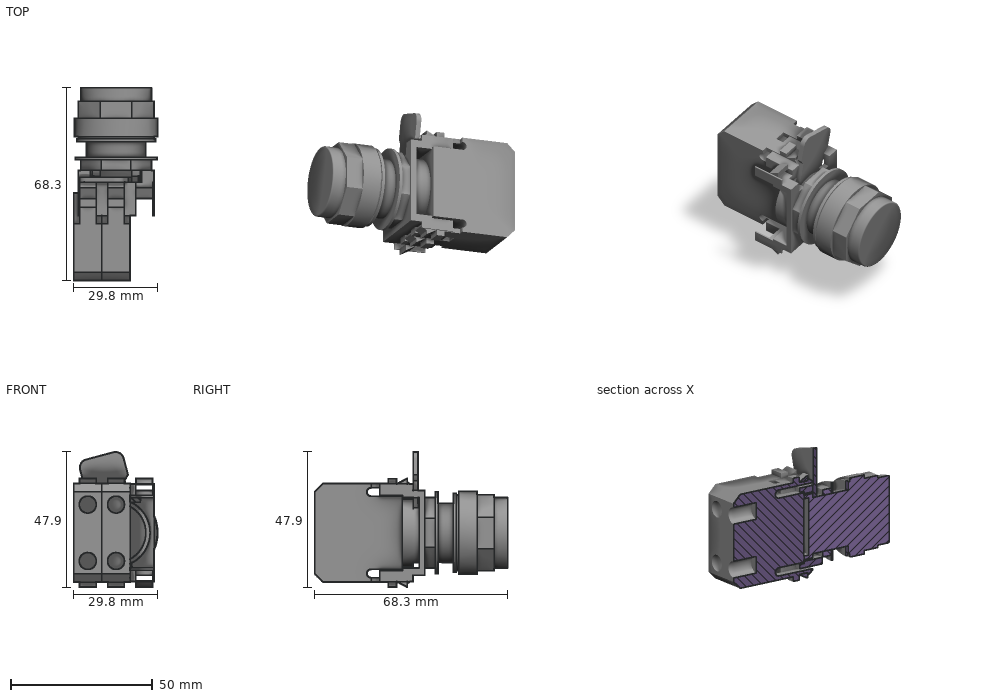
import cadquery as cq
import math


barrel_radius = 10.5
button_radius = 12.6
button_fillet = 0.5
bezel_flats = 26.9
flange_radius = 14.75
shoulder_radius = 13.45
collar_radius = 12.0
collar_recess_depth = 2.0

button_end_y = 29.3
bezel_front_y = 24.45
flange_front_y = 18.5
shoulder_front_y = 11.95
gasket_front_y = 11.1

gasket_radius = 14.0
gasket_thickness = 1.0
washer_radius = 14.55
washer_thickness = 1.0
nut_flats = 25.1
nut_thickness = 3.7

bracket_width = 26.9
plate_thickness = 2.05
plate_half_height = 15.0
shelf_depth = 4.2
arm_half_height = 17.3
arm_end_y = -16.05
inner_half_height = 12.4
arm_inner_half_height = 13.25
pocket_count = 3
pocket_width = 5.95
pocket_pitch = 10.0
pocket_end_y = -10.0
catch_face_y = -6.2
catch_bottom = 16.95
catch_top = 19.25

lever_thickness = 1.8
lever_tilt = 15.0
lever_offset = 1.45
head_half_width = 8.0
neck_half_width = 6.3
head_bottom = 18.8
head_top = 27.8
head_corner_radius = 3.0
slot_top_half_width = 9.1
slot_side_slope = 0.15
slot_floor = 10.85
key_half_width = 5.6

block_count = 2
pair_width = 20.0
block_width = pair_width / block_count
first_block_x = -15.0
block_front_y = -8.0
block_back_y = button_end_y - 68.3
block_half_height = 17.5
block_chamfer = 3.0
arm_slot_bottom = 13.0
arm_slot_height = 2.9
arm_slot_end_y = -20.5
notch_end_y = -18.9
tongue_width = 5.8
tongue_offset = 2.1
tongue_bottom = arm_slot_bottom + arm_slot_height
grip_front_y = -10.05
grip_back_y = -13.0
grip_top = 19.2
hook_tip_height = 16.45
hook_top = 17.95
terminal_diameter = 6.0
terminal_half_spacing = 10.0
terminal_depth = 10.0


def disc(radius, back_y, front_y):
    """A cylinder on the Y axis from back_y to front_y."""
    return cq.Workplane("XZ", origin=(0, front_y, 0)).circle(radius).extrude(front_y - back_y)


def octagon(flats, back_y, front_y):
    """An octagonal prism on the Y axis with flats facing X and Z."""
    sides = 8
    half_facet_angle = 180.0 / sides
    corner_diameter = flats / math.cos(math.radians(half_facet_angle))
    prism = cq.Workplane("XZ").polygon(sides, corner_diameter).extrude(front_y - back_y)
    return prism.rotate((0, 0, 0), (0, 1, 0), half_facet_angle).translate((0, front_y, 0))


def block(x_range, y_range, z_range):
    """A box given by its limits along each axis."""
    limits = (x_range, y_range, z_range)
    sizes = [high - low for low, high in limits]
    lows = [low for low, _ in limits]
    return cq.Workplane("XY").box(*sizes, centered=False).translate(tuple(lows))


def side_profile(points, x_low, x_high):
    """A prism along X with a closed outline of (Y, Z) points."""
    return cq.Workplane("YZ", origin=(x_low, 0, 0)).polyline(points).close().extrude(x_high - x_low)


def both_ends(shape):
    """The shape together with its mirror image below Z = 0."""
    return shape.union(shape.mirror("XY"))


def lever_slot(floor):
    """Cutter for the tapered slot above the barrel, from the given floor height upward."""
    floor_half_width = slot_top_half_width - slot_side_slope * (plate_half_height - floor)
    outline = [
        (-floor_half_width, floor),
        (floor_half_width, floor),
        (slot_top_half_width, plate_half_height),
        (-slot_top_half_width, plate_half_height),
    ]
    return cq.Workplane("XZ").polyline(outline).close().extrude(shelf_depth)


def make_operator():
    button = disc(button_radius, bezel_front_y, button_end_y).faces(">Y").edges().fillet(button_fillet)
    operator = (
        button.union(octagon(bezel_flats, flange_front_y, bezel_front_y))
        .union(disc(flange_radius, shoulder_front_y, flange_front_y))
        .union(disc(shoulder_radius, gasket_front_y, shoulder_front_y))
    )
    collar = disc(collar_radius, block_front_y, 0)
    key_slot = block((-key_half_width, key_half_width), (-shelf_depth, 0), (-collar_radius, 0))
    collar = collar.cut(lever_slot(0)).cut(key_slot)
    barrel = disc(barrel_radius, block_front_y, gasket_front_y)
    rear_recess = disc(barrel_radius, block_front_y, block_front_y + collar_recess_depth)
    return operator.union(barrel).union(collar).cut(rear_recess)


def make_ring(radius, back_y, thickness):
    front_y = back_y + thickness
    return disc(radius, back_y, front_y).cut(disc(barrel_radius, back_y, front_y))


def make_locknut():
    return octagon(nut_flats, 0, nut_thickness).cut(disc(barrel_radius, 0, nut_thickness))


def make_bracket():
    half_width = bracket_width / 2
    arm_outline = [
        (-plate_thickness, inner_half_height),
        (block_front_y, inner_half_height),
        (block_front_y, arm_inner_half_height),
        (arm_end_y, arm_inner_half_height),
        (arm_end_y, arm_half_height),
        (-shelf_depth, arm_half_height),
        (-shelf_depth, plate_half_height),
        (-plate_thickness, plate_half_height),
    ]
    catch_outline = [
        (catch_face_y, catch_bottom),
        (catch_face_y, catch_top),
        (pocket_end_y, arm_half_height),
        (pocket_end_y, catch_bottom),
    ]
    arm = side_profile(arm_outline, -half_width, half_width)
    for index in range(pocket_count):
        center_x = (index - (pocket_count - 1) / 2) * pocket_pitch
        x_range = (center_x - pocket_width / 2, center_x + pocket_width / 2)
        window = block(x_range, (arm_end_y, -shelf_depth), (plate_half_height, arm_half_height))
        open_end = block(x_range, (arm_end_y, pocket_end_y), (arm_inner_half_height, plate_half_height))
        arm = arm.cut(window).cut(open_end).union(side_profile(catch_outline, *x_range))

    plate = block(
        (-half_width, half_width), (-plate_thickness, 0), (-plate_half_height, plate_half_height)
    )
    key_slot = block(
        (-key_half_width, key_half_width),
        (-plate_thickness, 0),
        (-inner_half_height, inner_half_height),
    )
    bore = disc(collar_radius, -plate_thickness, 0)
    return plate.union(both_ends(arm)).cut(bore).cut(key_slot).cut(lever_slot(slot_floor))


def make_lever():
    shoulder_drop = head_half_width - neck_half_width
    outline = [
        (-neck_half_width, 0),
        (neck_half_width, 0),
        (neck_half_width, head_bottom - shoulder_drop),
        (head_half_width, head_bottom),
        (head_half_width, head_top),
        (-head_half_width, head_top),
        (-head_half_width, head_bottom),
        (-neck_half_width, head_bottom - shoulder_drop),
    ]
    lever = cq.Workplane("XZ").polyline(outline).close().extrude(lever_thickness)
    lever = lever.edges("|Y and >Z").fillet(head_corner_radius)
    lever = lever.translate((lever_offset, lever_thickness - shelf_depth, 0))
    lever = lever.rotate((0, 0, 0), (0, 1, 0), -lever_tilt)
    return lever.cut(disc(barrel_radius, -shelf_depth, 0))


def make_tongue():
    """Upper snap tongue at the block's own X: a hook, a finger grip and its root."""
    outline = [
        (notch_end_y, tongue_bottom),
        (notch_end_y, block_half_height),
        (grip_back_y, block_half_height),
        (grip_back_y, grip_top),
        (grip_front_y, grip_top),
        (grip_front_y, catch_bottom),
        (catch_face_y, catch_bottom),
        (catch_face_y, hook_top),
        (-shelf_depth, hook_tip_height),
        (-shelf_depth, tongue_bottom),
    ]
    return side_profile(outline, tongue_offset, tongue_offset + tongue_width)


def make_contact_block(left_x):
    housing = block(
        (0, block_width), (block_back_y, block_front_y), (-block_half_height, block_half_height)
    )
    housing = housing.faces("<Y").edges("|X").chamfer(block_chamfer)

    slot_radius = arm_slot_height / 2
    slot_round_y = arm_slot_end_y + slot_radius
    slot = block((0, block_width), (slot_round_y, block_front_y), (arm_slot_bottom, tongue_bottom))
    slot_round = (
        cq.Workplane("YZ", origin=(0, slot_round_y, arm_slot_bottom + slot_radius))
        .circle(slot_radius)
        .extrude(block_width)
    )
    clearance = block(
        (0, block_width), (notch_end_y, block_front_y), (tongue_bottom, block_half_height)
    )
    housing = housing.cut(both_ends(slot.union(slot_round).union(clearance)))
    housing = housing.union(both_ends(make_tongue()))

    terminal_holes = (
        cq.Workplane("XZ", origin=(block_width / 2, block_back_y, 0))
        .pushPoints([(0, terminal_half_spacing), (0, -terminal_half_spacing)])
        .circle(terminal_diameter / 2)
        .extrude(-terminal_depth)
    )
    return housing.cut(terminal_holes).translate((left_x, 0, 0))


operator = make_operator()
gasket = make_ring(gasket_radius, gasket_front_y - gasket_thickness, gasket_thickness)
washer = make_ring(washer_radius, nut_thickness, washer_thickness)
locknut = make_locknut()
bracket = make_bracket()
lever = make_lever()
contact_blocks = [
    make_contact_block(first_block_x + index * block_width) for index in range(block_count)
]

result = cq.Compound.makeCompound(
    [
        operator.solids().val(),
        gasket.solids().val(),
        washer.solids().val(),
        locknut.solids().val(),
        bracket.solids().val(),
        lever.solids().val(),
        *[contact_block.solids().val() for contact_block in contact_blocks],
    ]
)